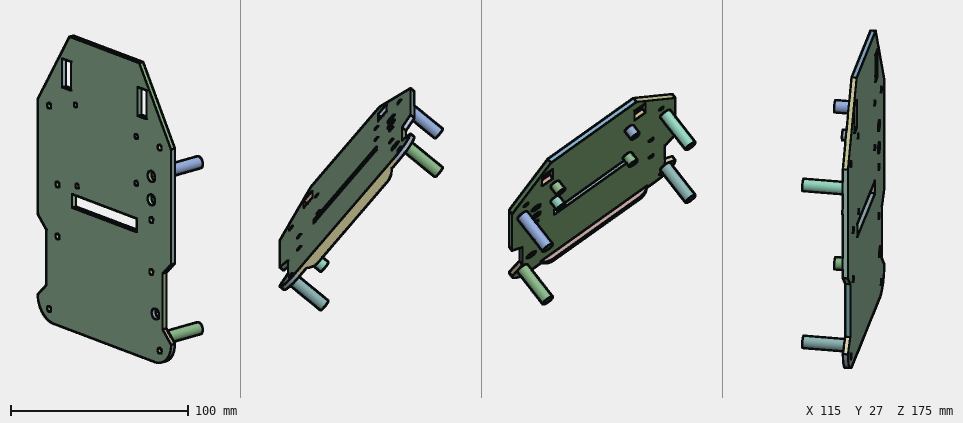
import cadquery as cq
import math

height = 175.0
width = 115.0
half_width = width / 2
thickness = 3.0
top_half_width = 30.1
shoulder_z = 130.5
corner_radius = 14.0

notch_depth = 7.4
notch_bottom_z = corner_radius
notch_top_z = 62.0
waist_half_width = half_width - notch_depth

side_window_width = 7.5
side_window_height = 17.2
side_window_x = 32.5
side_window_z = 151.7
long_window_width = 55.6
long_window_height = 8.0
long_window_z = 77.5

screw_hole_diameter = 3.3
outer_screw_x = 47.6
outer_screw_heights = (7.9, 129.2)
inner_screw_x = 40.5
inner_screw_heights = (53.0, 84.0)
cable_hole_diameter = 6.3
cable_hole_centres = [(44.0, 28.9), (40.5, 96.0), (40.5, 110.0)]

standoff_diameter = 6.1
standoff_length = 6.0
standoff_bore = 2.8
standoff_centres = [(-24.8, 135.6), (27.5, 130.5), (27.5, 102.5), (-23.5, 87.5)]

overall_depth = 27.0
post_length = overall_depth - thickness
post_diameter = 7.2
post_x = 50.2
post_heights = (16.0, 115.0)

lip_half_width = 37.5
lip_depth = 3.0
lip_height = 3.8
lip_corner_radius = 10.0


def mirrored(x, heights):
    """Centres at both +x and -x for every height."""
    return [(side * x, z) for side in (-1, 1) for z in heights]


def extrude_back(sketch, start_y, length):
    """Extrude an XZ sketch towards +Y, starting at start_y."""
    return sketch.extrude(-length).translate((0, start_y, 0))


def cylinders(centres, diameter, start_y, length):
    """Round bars along Y at the given (x, z) centres."""
    sketch = cq.Workplane("XZ").pushPoints(centres).circle(diameter / 2)
    return extrude_back(sketch, start_y, length)


def windows(centres, window_width, window_height):
    """Rectangular cutters through the plate at the given (x, z) centres."""
    sketch = cq.Workplane("XZ").pushPoints(centres).rect(window_width, window_height)
    return extrude_back(sketch, 0, thickness)


def make_plate():
    bottom_half_width = half_width - corner_radius
    arc_offset = corner_radius * math.sqrt(0.5)
    arc_mid_x = bottom_half_width + arc_offset
    arc_mid_z = corner_radius - arc_offset
    outline = (
        cq.Workplane("XZ")
        .moveTo(-bottom_half_width, 0)
        .lineTo(bottom_half_width, 0)
        .threePointArc((arc_mid_x, arc_mid_z), (half_width, notch_bottom_z))
        .lineTo(waist_half_width, notch_bottom_z + notch_depth)
        .lineTo(waist_half_width, notch_top_z - notch_depth)
        .lineTo(half_width, notch_top_z)
        .lineTo(half_width, shoulder_z)
        .lineTo(top_half_width, height)
        .lineTo(-top_half_width, height)
        .lineTo(-half_width, shoulder_z)
        .lineTo(-half_width, notch_top_z)
        .lineTo(-waist_half_width, notch_top_z - notch_depth)
        .lineTo(-waist_half_width, notch_bottom_z + notch_depth)
        .lineTo(-half_width, notch_bottom_z)
        .threePointArc((-arc_mid_x, arc_mid_z), (-bottom_half_width, 0))
        .close()
    )
    return extrude_back(outline, 0, thickness)


def make_lip():
    arc_centre_depth = lip_depth - lip_corner_radius
    arc_width = math.sqrt(lip_corner_radius ** 2 - arc_centre_depth ** 2)
    flat_half_width = lip_half_width - arc_width
    back_y = thickness + lip_depth
    return (
        cq.Workplane("XY")
        .moveTo(-lip_half_width, thickness)
        .lineTo(lip_half_width, thickness)
        .radiusArc((flat_half_width, back_y), -lip_corner_radius)
        .lineTo(-flat_half_width, back_y)
        .radiusArc((-lip_half_width, thickness), -lip_corner_radius)
        .close()
        .extrude(lip_height)
    )


plate = make_plate()
plate = plate.cut(windows(mirrored(side_window_x, [side_window_z]), side_window_width, side_window_height))
plate = plate.cut(windows([(0, long_window_z)], long_window_width, long_window_height))

screw_centres = mirrored(outer_screw_x, outer_screw_heights) + mirrored(inner_screw_x, inner_screw_heights)
plate = plate.cut(cylinders(screw_centres, screw_hole_diameter, 0, thickness))
plate = plate.cut(cylinders(cable_hole_centres, cable_hole_diameter, 0, thickness))

body = plate.union(make_lip())
body = body.union(cylinders(mirrored(post_x, post_heights), post_diameter, thickness, post_length))
body = body.union(cylinders(standoff_centres, standoff_diameter, thickness, standoff_length))

result = body.cut(cylinders(standoff_centres, standoff_bore, 0, thickness + standoff_length))